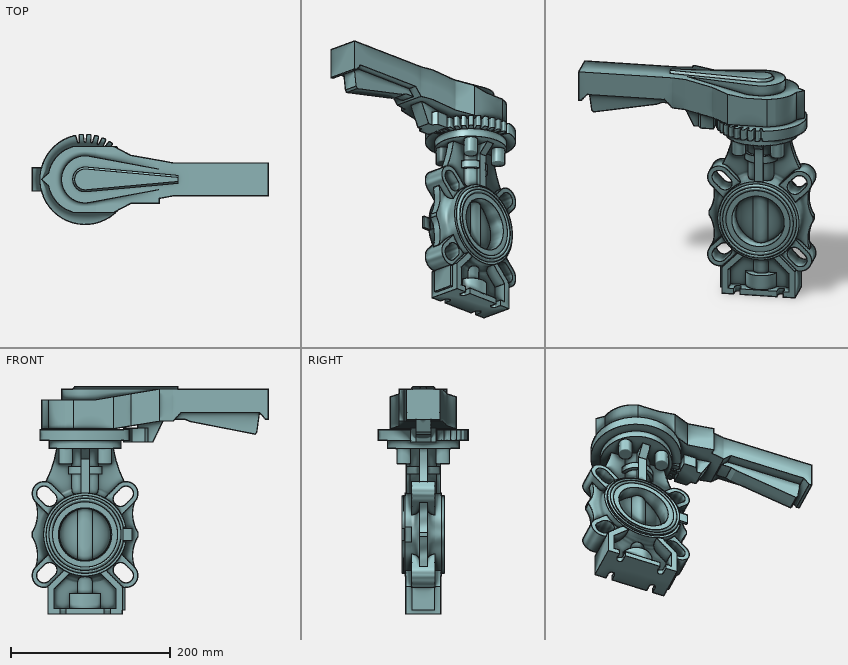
import cadquery as cq
import math


BORE_R_MOUTH = 33.5
BORE_R_MIDDLE = 32.2
WEB_HALF = 5.0
FLANGE_R = 52.0
FLANGE_HALF = 22.7
GROOVE_FILLET = 9.8
LINER_R = 48.8
LINER_HALF = 24.9
BEAD_SPLIT_R = 45.2
BEAD_INNER_R = 40.9
BEAD_HEIGHT = 2.0
BURIED_R = 42.0

TAB_START_X = 47.8
TAB_REACH = 58.8
TAB_HALF_HEIGHT = 7.7
TAB_THICKNESS = 3.0
NOTCH_HALF_HEIGHT = 9.4

LUG_R = 15.0
LUG_HALF = 14.6
LUG_ROOT = 50.0
LUG_SLOT_R = 9.2
LUG_OUTER = 51.4
LUG_INNER = 44.5

NECK_TOP_HALF = 35.6
NECK_MID = (40.7, 86.8)
NECK_FOOT = (48.8, 66.9)
WAIST_X = 59.7
WAIST_Z = 26.3
WAIST_END_Z = 40.0
TIP_X = 66.5
TIP_Z = 2.4
WAIST_ARC_R = ((TIP_X - WAIST_X) ** 2 + (WAIST_Z - TIP_Z) ** 2) / (2 * (TIP_X - WAIST_X))

BRACKET_HALF_X = 46.7
BRACKET_HALF_Y = 22.0
BRACKET_WALL = 7.8
BRACKET_FLOOR = 7.4
BRACKET_BOTTOM = -100.0
BRACKET_SHOULDER = -65.2
BRACKET_TOP_DEPTH = 39.0
FOOT_SLOT_X = 27.6
FOOT_SLOT_R = 4.0
FOOT_SLOT_END_Y = 14.0
PAD_THICKNESS = 3.4
PAD_BOTTOM = -94.7
PAD_TOP = -66.4
PAD_HALF_Y = 14.0

STEM_R = 10.6
HUB_R = 20.2
HUB_TOP = -74.0
NECK_R = 17.5
COLLAR_R = 21.6
COLLAR_BOTTOM = 76.0
COLLAR_HEIGHT = 9.5
RIB_HALF_X = 5.4
RIB_HALF_Y = COLLAR_R
RIB_TOP = 95.0

PLATE_EDGE_X = 26.2
PLATE_HALF_EDGE = 4.0
PLATE_ROOT_X = 9.4
PLATE_HALF_ROOT = 8.7
SHAFT_R = math.hypot(PLATE_ROOT_X, PLATE_HALF_ROOT)

MOUNT_R = 45.2
MOUNT_Z = 108.0
RATCHET_R = 56.67
RATCHET_Z = 118.0
RATCHET_TOP = 131.5
NOTCH_ROOT_R = 47.6
NOTCH_ROOT_HALF = 1.0
NOTCH_MOUTH_HALF = 2.3
NOTCH_FIRST_ANGLE = -10
NOTCH_COUNT = 12
NOTCH_PITCH = 10
TOOTH_TIP_FILLET = 1.6
BOLT_PITCH = 49.0
BOLT_R = 8.5
BOLT_LENGTH = 19.5
BOLT_FILLET = 1.0

LEVER_END = 230.0
LEVER_BOTTOM = 132.5
DECK_Z = 169.0
LEVER_TOP = 182.2
HEAD_R = 42.8
HEAD_CENTER_X = -3.6
HEAD_TIP_X = -54.6
HEAD_BEAK_HALF = 8.1
HEAD_ARC_END_X = -25.0
HEAD_HALF = 41.5
HEAD_FLAT_START_X = -14.5
HEAD_FLAT_END_X = 35.6
ARM_START_X = 57.5
ARM_HALF = 30.2
ARM_END_X = 93.1
ARM_END_HALF = 24.0
GRIP_START_X = 110.3
GRIP_HALF = 20.8
GRIP_ARM_BOTTOM = 142.1
GRIP_ROOF_START_X = 120.2
GRIP_ROOF_END_X = 219.0
GRIP_ROOF_Z = 152.8
GRIP_LIP_X = 226.4
GRIP_LIP_Z = 144.3
DECK_SLOPE_START_X = 13.9
BOSS_R = 29.5
BOSS_END_X = 92.2
BOSS_TAPER_ANGLE = 10.5
POINTER_R = 15.5
POINTER_END_X = 116.3
POINTER_END_HALF = 5.0
POINTER_TOP = 185.5
POINTER_DRAFT = 36.0

TRIGGER_HALF = 9.4
TRIGGER_START_X = 111.5
TRIGGER_KNEE = (125.6, GRIP_LIP_Z)
TRIGGER_BEND = (132.0, 141.6)
TRIGGER_TOE = (213.3, 125.7)
TRIGGER_TIP = (215.5, 128.5)
TRIGGER_END_X = 218.8
TRIGGER_ROOT_Z = 158.0
HANGER_START_X = 66.0
HANGER_FOOT_X = 85.0
HANGER_END_X = 97.8
PAWL_HALF = 16.0
PAWL_BOTTOM = 115.9
PAWL_TOP = 133.4
PAWL_START_X = 58.7
PAWL_FLAT_END_X = 75.0
PAWL_END_X = 78.7
PAWL_TOOTH_TIP_X = 48.5
PAWL_TOOTH_TIP_HALF = 0.6
PAWL_TOOTH_ROOT_HALF = 2.0


def mirrored_in_x(points):
    return [(-x, y) for x, y in reversed(points)]


def mirrored_in_y(points):
    return [(x, -y) for x, y in reversed(points)]


def upright_prism(points, bottom, top):
    """Closed XY outline extruded from one height to another."""
    return cq.Workplane("XY").workplane(offset=bottom).polyline(points).close().extrude(top - bottom)


def cross_prism(points, half_width):
    """Closed XZ outline extruded evenly to both sides of Y = 0."""
    return cq.Workplane("XZ").polyline(points).close().extrude(half_width, both=True)


def post(radius, bottom, top):
    return cq.Workplane("XY").workplane(offset=bottom).circle(radius).extrude(top - bottom)




def barrel():
    """Ring around the bore, from filleted grooves to sealing beads, closed by the disc in its middle."""
    groove_r = FLANGE_R + GROOVE_FILLET
    groove_y = WEB_HALF + GROOVE_FILLET
    fillet_step = GROOVE_FILLET * (1 - math.sqrt(0.5))
    crest_y = LINER_HALF + BEAD_HEIGHT
    half = (
        cq.Workplane("XY")
        .lineTo(groove_r, 0)
        .lineTo(groove_r, WEB_HALF)
        .threePointArc((FLANGE_R + fillet_step, WEB_HALF + fillet_step), (FLANGE_R, groove_y))
        .lineTo(FLANGE_R, FLANGE_HALF)
        .lineTo(LINER_R, FLANGE_HALF)
        .lineTo(LINER_R, LINER_HALF)
        .threePointArc(((LINER_R + BEAD_SPLIT_R) / 2, crest_y), (BEAD_SPLIT_R, LINER_HALF))
        .threePointArc(((BEAD_SPLIT_R + BEAD_INNER_R) / 2, crest_y), (BEAD_INNER_R, LINER_HALF))
        .lineTo(BORE_R_MOUTH, LINER_HALF)
        .lineTo(BORE_R_MIDDLE, PLATE_HALF_EDGE)
        .lineTo(0, PLATE_HALF_EDGE)
        .close()
        .revolve(360, (0, 0, 0), (0, 1, 0))
    )
    return half.union(half.mirror("XZ"))


def waist_point(z):
    """Point on the hollow circular waist of the web, narrowest at WAIST_Z."""
    rise = z - WAIST_Z
    return (WAIST_X + WAIST_ARC_R - math.sqrt(WAIST_ARC_R**2 - rise**2), z)


def web():
    """Flat plate carrying the neck, the side tips and the lower bracket."""
    lug_z = (WAIST_END_Z, (WAIST_END_Z + WAIST_Z) / 2, WAIST_Z)
    tip_z = (WAIST_Z, (WAIST_Z + TIP_Z) / 2, TIP_Z)
    lug_arc = [waist_point(z) for z in lug_z]
    tip_arc = [waist_point(z) for z in tip_z]
    tip_arc_below = mirrored_in_y(tip_arc)
    lug_arc_below = mirrored_in_y(lug_arc)
    half = (
        cq.Workplane("XZ")
        .moveTo(0, MOUNT_Z)
        .lineTo(NECK_TOP_HALF, MOUNT_Z)
        .threePointArc(NECK_MID, NECK_FOOT)
        .lineTo(*lug_arc[0])
        .threePointArc(*lug_arc[1:])
        .threePointArc(*tip_arc[1:])
        .lineTo(*tip_arc_below[0])
        .threePointArc(*tip_arc_below[1:])
        .threePointArc(*lug_arc_below[1:])
        .lineTo(BRACKET_HALF_X, BRACKET_SHOULDER)
        .lineTo(BRACKET_HALF_X, BRACKET_BOTTOM)
        .lineTo(0, BRACKET_BOTTOM)
        .close()
        .extrude(WEB_HALF, both=True)
    )
    opening = cq.Workplane("XZ").circle(BURIED_R).extrude(WEB_HALF, both=True)
    return half.union(half.mirror("YZ")).cut(opening)


def lug_prism(start, end, radius, half_width, angle):
    """Round-ended bar along a diagonal, its end centres at two distances from the bore axis."""
    bar = (
        cq.Workplane("XZ")
        .center((start + end) / 2, 0)
        .slot2D(end - start + 2 * radius, 2 * radius)
        .extrude(half_width, both=True)
    )
    return bar.rotate((0, 0, 0), (0, 1, 0), angle)


def bracket():
    """Open frame below the barrel, with sloping shoulders and slotted feet."""
    shoulder_rise = BRACKET_HALF_X + BRACKET_SHOULDER
    inner_half = BRACKET_HALF_X - BRACKET_WALL
    inner_rise = shoulder_rise - BRACKET_WALL * math.sqrt(2)
    top_z = -BRACKET_TOP_DEPTH
    outer = [
        (BRACKET_HALF_X, BRACKET_BOTTOM),
        (BRACKET_HALF_X, BRACKET_SHOULDER),
        (shoulder_rise - top_z, top_z),
    ]
    inner = [
        (inner_half, BRACKET_BOTTOM + BRACKET_FLOOR),
        (inner_half, inner_rise - inner_half),
        (inner_rise - top_z, top_z),
    ]
    frame = cross_prism(outer + mirrored_in_x(outer), BRACKET_HALF_Y)
    frame = frame.cut(cross_prism(inner + mirrored_in_x(inner), BRACKET_HALF_Y))
    slot_length = 2 * (BRACKET_HALF_Y - FOOT_SLOT_END_Y + FOOT_SLOT_R)
    feet = [(sx * FOOT_SLOT_X, sy * BRACKET_HALF_Y) for sx in (-1, 1) for sy in (-1, 1)]
    slots = (
        cq.Workplane("XY")
        .workplane(offset=BRACKET_BOTTOM)
        .pushPoints(feet)
        .slot2D(slot_length, 2 * FOOT_SLOT_R, 90)
        .extrude(BRACKET_FLOOR)
    )
    pad = (
        cq.Workplane("XY")
        .box(PAD_THICKNESS, 2 * PAD_HALF_Y, PAD_TOP - PAD_BOTTOM, centered=(False, True, False))
        .translate((BRACKET_HALF_X, 0, PAD_BOTTOM))
    )
    return frame.cut(slots).union(pad)


def neck():
    """Stem housing with its collar and the two ribs that flare out under the top flange."""
    flare_y = RIB_HALF_Y + MOUNT_Z - RIB_TOP
    rib = [(RIB_HALF_Y, BURIED_R), (RIB_HALF_Y, RIB_TOP), (flare_y, MOUNT_Z)]
    ribs = cq.Workplane("YZ").polyline(rib + mirrored_in_x(rib)).close().extrude(RIB_HALF_X, both=True)
    collar = post(COLLAR_R, COLLAR_BOTTOM, COLLAR_BOTTOM + COLLAR_HEIGHT)
    return post(NECK_R, BURIED_R, MOUNT_Z).union(collar).union(ribs)


def disc_shaft():
    """Shaft across the bore, with the wedge-shaped thickening of the disc on both of its sides."""
    section = [(PLATE_EDGE_X, PLATE_HALF_EDGE), (PLATE_ROOT_X, PLATE_HALF_ROOT)]
    front = section + mirrored_in_x(section)
    wedge = upright_prism(front + mirrored_in_y(front), -BURIED_R, BURIED_R)
    return wedge.union(post(SHAFT_R, -BURIED_R, BURIED_R))


def ratchet():
    """Round plate with a quarter turn of tapered notches for the pawl."""
    plate = post(RATCHET_R, RATCHET_Z, RATCHET_TOP)
    mouth_x = RATCHET_R + NOTCH_ROOT_HALF
    for index in range(NOTCH_COUNT):
        notch = (
            cq.Workplane("XY")
            .workplane(offset=RATCHET_Z)
            .moveTo(NOTCH_ROOT_R, NOTCH_ROOT_HALF)
            .threePointArc((NOTCH_ROOT_R - NOTCH_ROOT_HALF, 0), (NOTCH_ROOT_R, -NOTCH_ROOT_HALF))
            .lineTo(mouth_x, -NOTCH_MOUTH_HALF)
            .lineTo(mouth_x, NOTCH_MOUTH_HALF)
            .close()
            .extrude(RATCHET_TOP - RATCHET_Z)
        )
        angle = NOTCH_FIRST_ANGLE + index * NOTCH_PITCH
        plate = plate.cut(notch.rotate((0, 0, 0), (0, 0, 1), angle))
    rim_start = RATCHET_R - NOTCH_ROOT_HALF
    tips = plate.edges("|Z").filter(
        lambda edge: math.hypot(edge.Center().x, edge.Center().y) > rim_start and edge.Center().y != 0
    )
    return tips.fillet(TOOTH_TIP_FILLET)


def bolts():
    heads = (
        cq.Workplane("XY")
        .workplane(offset=MOUNT_Z - BOLT_LENGTH)
        .rect(BOLT_PITCH, BOLT_PITCH, forConstruction=True)
        .vertices()
        .circle(BOLT_R)
        .extrude(BOLT_LENGTH)
    )
    return heads.faces("<Z").edges().fillet(BOLT_FILLET)


def liner_tab():
    return (
        cq.Workplane("XY")
        .box(TAB_REACH - TAB_START_X, TAB_THICKNESS, 2 * TAB_HALF_HEIGHT, centered=(False, False, True))
        .translate((TAB_START_X, -LINER_HALF - BEAD_HEIGHT, 0))
    )


def flange_notch():
    depth = FLANGE_HALF - WEB_HALF - GROOVE_FILLET
    length = FLANGE_R - LINER_R
    return (
        cq.Workplane("XY")
        .box(length, depth, 2 * NOTCH_HALF_HEIGHT, centered=(False, False, True))
        .translate((LINER_R, -FLANGE_HALF, 0))
    )


def build_valve():
    valve = barrel().cut(flange_notch()).union(web())
    outer = LUG_OUTER * math.sqrt(2)
    inner = LUG_INNER * math.sqrt(2)
    diagonals = (45, 135, 225, 315)
    for angle in diagonals:
        valve = valve.union(lug_prism(LUG_ROOT, outer, LUG_R, LUG_HALF, angle))
    valve = valve.union(bracket())
    for angle in diagonals:
        valve = valve.cut(lug_prism(inner, outer, LUG_SLOT_R, FLANGE_HALF, angle))
    valve = valve.union(neck()).union(disc_shaft()).union(liner_tab())
    valve = valve.union(post(STEM_R, HUB_TOP, -BURIED_R))
    valve = valve.union(post(HUB_R, BRACKET_BOTTOM + BRACKET_FLOOR, HUB_TOP))
    valve = valve.union(bolts()).union(post(MOUNT_R, MOUNT_Z, RATCHET_Z))
    return valve.union(ratchet())




def lever_plan():
    """Lever outline seen from above, with a beaked round head; the -Y arm is straight-sided."""
    beak_x = HEAD_CENTER_X - math.sqrt(HEAD_R**2 - HEAD_BEAK_HALF**2)
    arc_end_y = math.sqrt(HEAD_R**2 - (HEAD_ARC_END_X - HEAD_CENTER_X) ** 2)
    arc_mid = (HEAD_CENTER_X - HEAD_R * math.sqrt(0.5), HEAD_R * math.sqrt(0.5))
    return (
        cq.Workplane("XY")
        .workplane(offset=LEVER_BOTTOM)
        .moveTo(HEAD_TIP_X, 0)
        .lineTo(beak_x, HEAD_BEAK_HALF)
        .threePointArc(arc_mid, (HEAD_ARC_END_X, arc_end_y))
        .lineTo(HEAD_FLAT_START_X, HEAD_HALF)
        .lineTo(HEAD_FLAT_END_X, HEAD_HALF)
        .lineTo(ARM_START_X, ARM_HALF)
        .lineTo(ARM_END_X, ARM_END_HALF)
        .lineTo(GRIP_START_X, GRIP_HALF)
        .lineTo(LEVER_END, GRIP_HALF)
        .lineTo(LEVER_END, -GRIP_HALF)
        .lineTo(GRIP_START_X, -GRIP_HALF)
        .lineTo(ARM_END_X, -ARM_END_HALF)
        .lineTo(ARM_END_X, -ARM_HALF)
        .lineTo(ARM_START_X, -ARM_HALF)
        .lineTo(HEAD_FLAT_END_X, -HEAD_HALF)
        .lineTo(HEAD_FLAT_START_X, -HEAD_HALF)
        .lineTo(HEAD_ARC_END_X, -arc_end_y)
        .threePointArc((arc_mid[0], -arc_mid[1]), (beak_x, -HEAD_BEAK_HALF))
        .close()
        .extrude(LEVER_TOP - LEVER_BOTTOM)
    )


def lever_side():
    """Side profile of the lever: low head, rising arm and hollow-bottomed grip."""
    return cross_prism(
        [
            (HEAD_TIP_X, LEVER_BOTTOM),
            (HEAD_FLAT_END_X, LEVER_BOTTOM),
            (ARM_END_X, GRIP_ARM_BOTTOM),
            (GRIP_START_X, GRIP_ARM_BOTTOM),
            (GRIP_ROOF_START_X, GRIP_ROOF_Z),
            (GRIP_ROOF_END_X, GRIP_ROOF_Z),
            (GRIP_LIP_X, GRIP_LIP_Z),
            (LEVER_END, GRIP_LIP_Z),
            (LEVER_END, LEVER_TOP),
            (BOSS_END_X, LEVER_TOP),
            (DECK_SLOPE_START_X, DECK_Z),
            (HEAD_TIP_X, DECK_Z),
        ],
        HEAD_HALF,
    )


def boss():
    """Raised hub whose flanks run tangentially into the arm."""
    taper = math.radians(BOSS_TAPER_ANGLE)
    tangent_x = BOSS_R * math.sin(taper)
    tangent_y = BOSS_R * math.cos(taper)
    end_y = tangent_y - (BOSS_END_X - tangent_x) * math.tan(taper)
    return (
        cq.Workplane("XY")
        .workplane(offset=DECK_Z)
        .moveTo(BOSS_END_X, end_y)
        .lineTo(tangent_x, tangent_y)
        .threePointArc((-BOSS_R, 0), (tangent_x, -tangent_y))
        .lineTo(BOSS_END_X, -end_y)
        .close()
        .extrude(LEVER_TOP - DECK_Z)
    )


def pointer():
    """Raised pointer with sloping flanks and a square-cut end."""
    taper = math.asin(POINTER_R / POINTER_END_X) - math.asin(POINTER_END_HALF / POINTER_END_X)
    tangent_x = POINTER_R * math.sin(taper)
    tangent_y = POINTER_R * math.cos(taper)
    overrun_x = POINTER_END_X + POINTER_END_HALF
    overrun_y = tangent_y - (overrun_x - tangent_x) * math.tan(taper)
    height = POINTER_TOP - LEVER_TOP
    ridge = (
        cq.Workplane("XY")
        .workplane(offset=LEVER_TOP)
        .moveTo(overrun_x, overrun_y)
        .lineTo(tangent_x, tangent_y)
        .threePointArc((-POINTER_R, 0), (tangent_x, -tangent_y))
        .lineTo(overrun_x, -overrun_y)
        .close()
        .extrude(height, taper=POINTER_DRAFT)
    )
    square_end = (
        cq.Workplane("XY")
        .box(POINTER_R + POINTER_END_X, 2 * POINTER_R, height, centered=(False, True, False))
        .translate((-POINTER_R, 0, LEVER_TOP))
    )
    return ridge.intersect(square_end)


def trigger():
    """Squeeze bar below the grip, rooted in its roof."""
    return cross_prism(
        [
            (TRIGGER_START_X, GRIP_LIP_Z),
            TRIGGER_KNEE,
            TRIGGER_BEND,
            TRIGGER_TOE,
            TRIGGER_TIP,
            (TRIGGER_END_X, GRIP_ROOF_Z),
            (TRIGGER_END_X, TRIGGER_ROOT_Z),
            (GRIP_ROOF_START_X, TRIGGER_ROOT_Z),
        ],
        TRIGGER_HALF,
    )


def pawl():
    """Pawl hanging below the arm, with a tooth that reaches into a ratchet notch."""
    hanger = cross_prism(
        [
            (HANGER_START_X, PAWL_BOTTOM),
            (HANGER_FOOT_X, PAWL_BOTTOM),
            (HANGER_END_X, GRIP_ARM_BOTTOM),
            (HANGER_END_X, GRIP_ROOF_Z),
            (HANGER_START_X, GRIP_ROOF_Z),
        ],
        TRIGGER_HALF,
    )
    half = [
        (PAWL_TOOTH_TIP_X, PAWL_TOOTH_TIP_HALF),
        (PAWL_START_X, PAWL_TOOTH_ROOT_HALF),
        (PAWL_START_X, PAWL_HALF),
        (PAWL_FLAT_END_X, PAWL_HALF),
        (PAWL_END_X, TRIGGER_HALF),
    ]
    return upright_prism(half + mirrored_in_y(half), PAWL_BOTTOM, PAWL_TOP).union(hanger)


def build_lever():
    lever = lever_plan().intersect(lever_side()).union(boss()).union(pointer())
    return lever.union(trigger()).union(pawl())


valve = build_valve()
lever = build_lever()
result = cq.Compound.makeCompound([valve.solids().val(), lever.solids().val()])